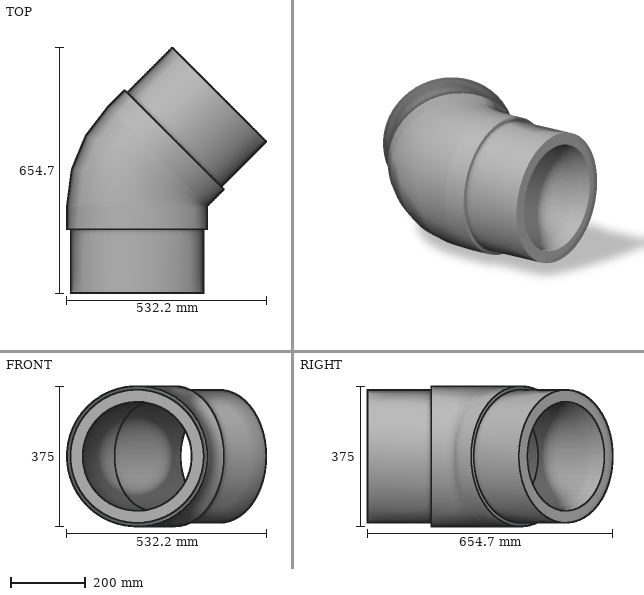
import cadquery as cq
import math

BEND_ANGLE = 45.0
CENTRE_TO_END = 310.0
SPIGOT_LENGTH = 170.0
SPIGOT_DIAMETER = 355.0
BODY_DIAMETER = 375.0
BORE_DIAMETER = 290.6
BEND_BORE_DIAMETER = 290.4

INNER_BEND_CLEARANCE = 0.1

HALF_ANGLE = math.radians(BEND_ANGLE / 2)
BODY_BEND_RADIUS = BODY_DIAMETER / 2 + INNER_BEND_CLEARANCE
BORE_BEND_RADIUS = BEND_BORE_DIAMETER / 2 + INNER_BEND_CLEARANCE


def tangent_length(bend_radius):
    """Distance from the crossing point of the axes to the start of a bend."""
    return bend_radius * math.tan(HALF_ANGLE)


def first_leg(diameter, near_distance, far_distance):
    """Cylinder on the -Y axis between two distances from the crossing point."""
    start = cq.Workplane("XZ", origin=(0, -near_distance, 0))
    return start.circle(diameter / 2).extrude(far_distance - near_distance)


def second_leg(leg):
    """Copy of the first leg turned half a revolution about the line that halves the bend."""
    axis_end = (-math.cos(HALF_ANGLE), math.sin(HALF_ANGLE), 0)
    return leg.rotate((0, 0, 0), axis_end, 180)


def bend(diameter, bend_radius):
    """Torus segment joining the two axes, turning from +Y towards +X."""
    start = cq.Workplane("XZ", origin=(0, -tangent_length(bend_radius), 0))
    return start.circle(diameter / 2).revolve(BEND_ANGLE, (bend_radius, 0, 0), (bend_radius, -1, 0))


def outer_body():
    """Solid bend with a collar and a narrower spigot on each end."""
    collar_end = CENTRE_TO_END - SPIGOT_LENGTH
    collar = first_leg(BODY_DIAMETER, tangent_length(BODY_BEND_RADIUS), collar_end)
    spigot = first_leg(SPIGOT_DIAMETER, collar_end, CENTRE_TO_END)
    leg = collar.union(spigot)
    return bend(BODY_DIAMETER, BODY_BEND_RADIUS).union(leg).union(second_leg(leg))


def cut_passage(body):
    """Cut the straight bores from both ends and the curved passage that joins them."""
    leg_bore = first_leg(BORE_DIAMETER, tangent_length(BORE_BEND_RADIUS), CENTRE_TO_END)
    curved_bore = bend(BEND_BORE_DIAMETER, BORE_BEND_RADIUS)
    return body.cut(curved_bore).cut(leg_bore).cut(second_leg(leg_bore))


result = cut_passage(outer_body())